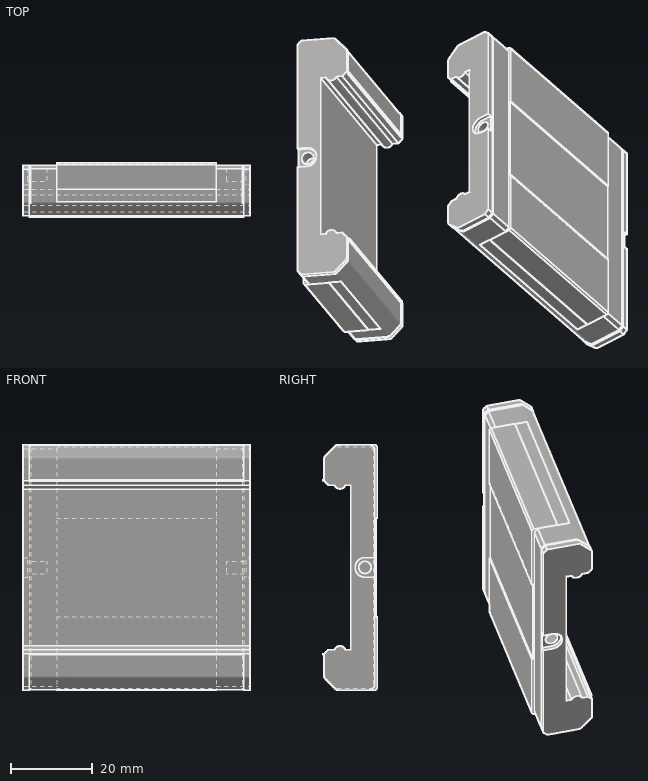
import cadquery as cq
import math

WIDTH = 55.5
HEIGHT = 60.0
DEPTH = 13.3

END_CAP_WIDTH = 1.55
END_CAP_STEP = 0.09

FRONT_LIP_Y = -DEPTH / 2
LIP_PROJECTION = 0.3
FRONT_Y = FRONT_LIP_Y + LIP_PROJECTION
PLATE_Y = DEPTH / 2
PLATE_THICKNESS = 0.6
BACK_Y = PLATE_Y - PLATE_THICKNESS
WEB_FRONT_Y = 0.2

JAW_INNER_Z = 20.05
OUTER_CHAMFER = 3.05
OUTER_BEND_RADIUS = 0.95
INNER_CHAMFER = 1.1
BACK_CHAMFER = 1.0
LIP_HEIGHT = 0.25

BEAD_Y = -2.45
BEAD_HALF_WIDTH = 1.3
BEAD_HEIGHT = 0.9

GROOVE_SIZE = 0.4

PLATE_WIDTH = 39.0
PLATE_CHAMFER = 0.5
PLATE_RECESS_DEPTH = 0.25
PLATE_RECESS_HEIGHT = 24.1

RECESS_DEPTH = 0.09

NOTCH_RADIUS = 2.4
NOTCH_DEPTH = 1.0
HOLE_RADIUS = 1.5
HOLE_DEPTH = 4.8
HOLE_Y = 3.65

TOP_Z = HEIGHT / 2
SIDES = (-1, 1)

CORNER_SHRINK = 2 - math.sqrt(2)

MIDDLE_WIDTH = WIDTH - 2 * END_CAP_WIDTH
MIDDLE_TOP_Z = TOP_Z - END_CAP_STEP
MIDDLE_BACK_CHAMFER = BACK_CHAMFER - END_CAP_STEP
MIDDLE_BEND_Y = FRONT_Y + END_CAP_STEP + OUTER_CHAMFER - CORNER_SHRINK * END_CAP_STEP


def along_x(length):
    """YZ workplane from which an extrusion of the given length is centred on X = 0."""
    return cq.Workplane("YZ").workplane(offset=-length / 2)


def make_section(width, inset):
    """C-shaped section: a web with a hooked jaw at the top and bottom.

    The top, bottom, front and outer chamfers move inward by the inset; the rest stays put.
    """
    top_z = TOP_Z - inset
    front_y = FRONT_Y + inset
    chamfer = OUTER_CHAMFER - CORNER_SHRINK * inset
    back_chamfer = BACK_CHAMFER - inset
    half = (
        along_x(width)
        .moveTo(BACK_Y, 0)
        .lineTo(BACK_Y, top_z - back_chamfer)
        .lineTo(BACK_Y - back_chamfer, top_z)
        .lineTo(front_y + chamfer, top_z)
        .lineTo(front_y, top_z - chamfer)
        .lineTo(front_y, JAW_INNER_Z + INNER_CHAMFER - inset)
        .lineTo(FRONT_Y + INNER_CHAMFER, JAW_INNER_Z)
        .lineTo(BEAD_Y - BEAD_HALF_WIDTH, JAW_INNER_Z)
        .threePointArc(
            (BEAD_Y, JAW_INNER_Z - BEAD_HEIGHT),
            (BEAD_Y + BEAD_HALF_WIDTH, JAW_INNER_Z),
        )
        .lineTo(WEB_FRONT_Y, JAW_INNER_Z)
        .lineTo(WEB_FRONT_Y, 0)
        .close()
        .extrude(width)
    )
    bend_points = (
        (0, front_y + chamfer, top_z),
        (0, front_y, top_z - chamfer),
    )
    for point in bend_points:
        half = half.edges(cq.NearestToPointSelector(point)).fillet(OUTER_BEND_RADIUS)
    return half.union(half.mirror("XY"))


def make_body():
    """Middle section between two end caps that stand slightly proud of it."""
    caps = make_section(WIDTH, 0)
    caps = caps.cut(cq.Workplane("XY").box(MIDDLE_WIDTH, 2 * DEPTH, 2 * HEIGHT))
    return make_section(MIDDLE_WIDTH, END_CAP_STEP).union(caps)


def make_groove(side):
    """V-groove cutter beside one end cap, running over the top, the back and the bottom."""
    cap_x = side * MIDDLE_WIDTH / 2
    inner_x = cap_x - side * GROOVE_SIZE
    front_y = MIDDLE_BEND_Y

    def outline(x, inset):
        chamfer = MIDDLE_BACK_CHAMFER - CORNER_SHRINK * inset
        back = BACK_Y - inset
        top = MIDDLE_TOP_Z - inset
        corners = (
            (front_y, -top),
            (back - chamfer, -top),
            (back, -top + chamfer),
            (back, top - chamfer),
            (back - chamfer, top),
            (front_y, top),
        )
        return cq.Wire.makePolygon([cq.Vector(x, y, z) for y, z in corners], close=True)

    ends = [outline(inner_x, 0), outline(cap_x, GROOVE_SIZE)]
    core = cq.Workplane(cq.Solid.makeLoft(ends, True))
    block_depth = BACK_Y - front_y
    block = cq.Workplane("XY").box(GROOVE_SIZE, block_depth, HEIGHT)
    block = block.translate(((inner_x + cap_x) / 2, front_y + block_depth / 2, 0))
    return block.cut(core)


def make_lip(side):
    """Thin lip at the inner front edge of one jaw, between the end caps."""
    base_z = JAW_INNER_Z + INNER_CHAMFER
    return (
        cq.Workplane("XY")
        .box(MIDDLE_WIDTH, 2 * LIP_PROJECTION, LIP_HEIGHT)
        .translate((0, FRONT_Y, side * (base_z + LIP_HEIGHT / 2)))
    )


def make_back_plate():
    """Raised plate on the back, with a shallow recess across its middle."""
    plate_depth = PLATE_Y - WEB_FRONT_Y
    plate = (
        cq.Workplane("XY")
        .box(PLATE_WIDTH, plate_depth, HEIGHT)
        .translate((0, WEB_FRONT_Y + plate_depth / 2, 0))
        .edges("|X and >Y")
        .chamfer(PLATE_CHAMFER)
    )
    recess = (
        cq.Workplane("XY")
        .box(PLATE_WIDTH, 2 * PLATE_RECESS_DEPTH, PLATE_RECESS_HEIGHT)
        .translate((0, PLATE_Y, 0))
    )
    return plate.cut(recess)


def make_jaw_recess(side):
    """Shallow recess on the outer face of one jaw, from the back plate to the rounded bend."""
    tangent_length = OUTER_BEND_RADIUS * math.tan(math.radians(45) / 2)
    front_y = MIDDLE_BEND_Y + tangent_length
    recess_length = WEB_FRONT_Y - front_y
    return (
        cq.Workplane("XY")
        .box(PLATE_WIDTH, recess_length, 2 * RECESS_DEPTH)
        .translate((0, front_y + recess_length / 2, side * MIDDLE_TOP_Z))
    )


def make_end_cut(side):
    """Round-ended notch, open to the back, and the blind hole in its floor."""
    notch_x = side * (WIDTH / 2 - NOTCH_DEPTH)
    reach = BACK_Y - HOLE_Y
    plane = cq.Workplane("YZ").workplane(offset=notch_x)
    notch = plane.center(HOLE_Y, 0).circle(NOTCH_RADIUS).extrude(side * NOTCH_DEPTH)
    opening = (
        plane.center(HOLE_Y + reach / 2, 0)
        .rect(reach, 2 * NOTCH_RADIUS)
        .extrude(side * NOTCH_DEPTH)
    )
    hole = plane.center(HOLE_Y, 0).circle(HOLE_RADIUS).extrude(-side * HOLE_DEPTH)
    return notch.union(opening).union(hole)


result = make_body()
for side in SIDES:
    result = result.cut(make_groove(side))
    result = result.cut(make_end_cut(side))
    result = result.cut(make_jaw_recess(side))
    result = result.union(make_lip(side))
result = result.union(make_back_plate())